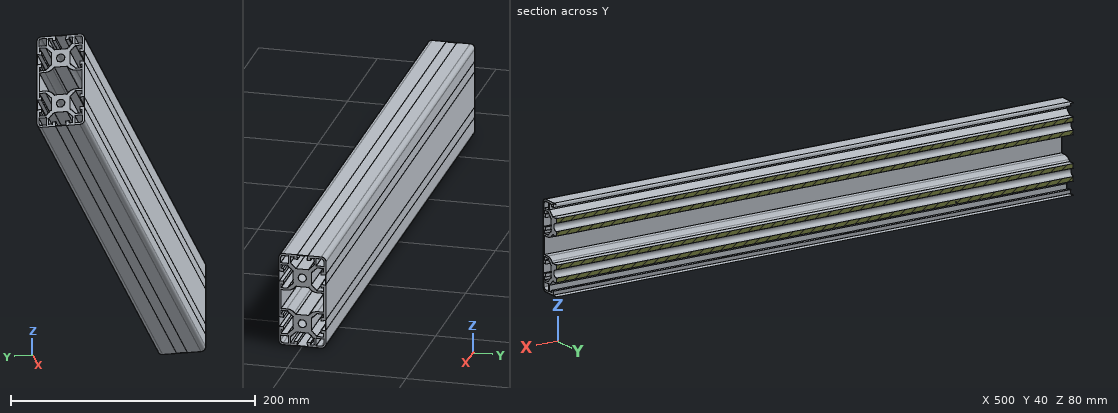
import cadquery as cq


length = 500.0
module = 40.0
width = module
height = 2 * module
corner_radius = 4.0
shoulder_radius = 9.0

skin = 0.5
lip = 2.2
corner_wall = 1.8
partition = 1.8

slot_mouth = 9.0
slot_throat = 8.0
rib_width = 3.0
rib_depth = 4.0
slot_width = 20.0

core_size = 15.5
bore_diameter = 6.8
web_offset = 2.5

half_module = module / 2
half_core = core_size / 2
half_slot = slot_width / 2
floor_half_width = half_core - web_offset
chamber_edge = half_slot + partition
module_centres = (-half_module, half_module)


def section_plane():
    """Plane of the end face at X = 0, with local axes along Y and Z."""
    return cq.Workplane("YZ")


def extrude_outline(points):
    return section_plane().polyline(points).close().extrude(length)


def slot_cavity():
    """Covered slot of a module centred on the origin, opening towards +Z."""
    half_mouth = slot_mouth / 2
    half_throat = slot_throat / 2
    rib_outside = half_throat + rib_width
    skin_face = half_module - skin
    lip_face = half_module - lip
    rib_crest = half_module - rib_depth
    right_side = [
        (half_mouth, skin_face),
        (half_throat, rib_crest),
        (rib_outside, rib_crest),
        (rib_outside, lip_face),
        (half_slot, lip_face),
        (half_slot, half_slot + web_offset),
        (floor_half_width, half_core),
    ]
    left_side = [(-y, z) for y, z in reversed(right_side)]
    return extrude_outline(right_side + left_side)


def central_chamber():
    """Large chamber between the two cores, mirrored about Y = 0 and Z = 0."""
    wall_face = width / 2 - lip
    core_face = module_centres[1] - half_core
    shelf = module_centres[1] - chamber_edge
    shoulder = chamber_edge - web_offset
    upper_right = [
        (wall_face, shelf),
        (shoulder, shelf),
        (floor_half_width, core_face),
    ]
    upper_left = [(-y, z) for y, z in reversed(upper_right)]
    upper = upper_right + upper_left
    lower = [(-y, -z) for y, z in upper]
    chamber = extrude_outline(upper + lower)
    for y in (-shoulder, shoulder):
        for z in (-shelf, shelf):
            shoulder_edge = cq.NearestToPointSelector((length / 2, y, z))
            chamber = chamber.edges("|X").edges(shoulder_edge).fillet(shoulder_radius)
    return chamber


def corner_chamber(y_sign, z_sign):
    """Square chamber in one corner, rounded to follow the outer corner."""
    size = half_module - corner_wall - chamber_edge
    centre_offset = chamber_edge + size / 2
    chamber = (
        section_plane()
        .center(centre_offset, module_centres[1] + centre_offset)
        .rect(size, size)
        .extrude(length)
        .edges(">Y and >Z")
        .fillet(corner_radius - corner_wall)
    )
    if y_sign < 0:
        chamber = chamber.mirror("XZ")
    if z_sign < 0:
        chamber = chamber.mirror("XY")
    return chamber


body = (
    section_plane()
    .rect(width, height)
    .extrude(length)
    .edges("|X")
    .fillet(corner_radius)
)

slot = slot_cavity()
for centre in module_centres:
    outward_turn = 0 if centre > 0 else 180
    for turn in (outward_turn, 90, -90):
        placed_slot = slot.rotate((0, 0, 0), (1, 0, 0), turn).translate((0, 0, centre))
        body = body.cut(placed_slot)

bores = (
    section_plane()
    .pushPoints([(0, centre) for centre in module_centres])
    .circle(bore_diameter / 2)
    .extrude(length)
)
body = body.cut(bores)

body = body.cut(central_chamber())
for y_sign in (-1, 1):
    for z_sign in (-1, 1):
        body = body.cut(corner_chamber(y_sign, z_sign))

result = body.translate((-length / 2, 0, 0))